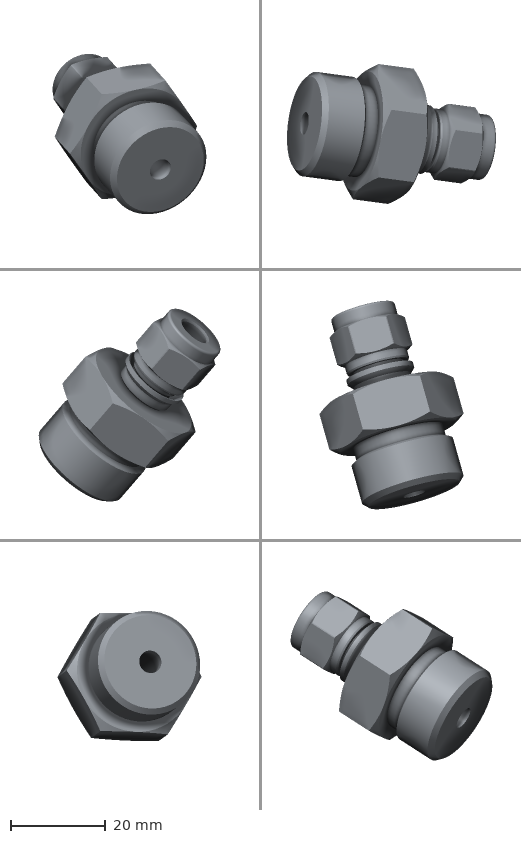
import cadquery as cq
import math

LENGTH = 40.85

NOSE_DIAMETER = 13.9
NOSE_ROUND = 0.55
NUT_ACROSS_FLATS = 14.38
NUT_CORNER_DIAMETER = 16.45
NUT_HEX_START = 3.02
NUT_HEX_END = 10.6
COLLAR_DIAMETER = 13.6
COLLAR_END = 12.58
COLLAR_CHAMFER_LENGTH = 0.35
COLLAR_CHAMFER_DEPTH = 0.15

NECK_DIAMETER = 11.1
NECK_INNER_DIAMETER = 10.1
NECK_TAPER_START = 13.95
FLANGE_DIAMETER = 14.6
FLANGE_START = 13.55
FLANGE_RIM_END = 14.62
FLANGE_LIP = 0.2
SHOULDER_DIAMETER = 12.6
SHOULDER_CHAMFER = 0.35
CONE_END = FLANGE_RIM_END + (FLANGE_DIAMETER - SHOULDER_DIAMETER) / 2

BODY_ACROSS_FLATS = 25.4
BODY_HEX_START = 17.85
BODY_HEX_END = 28.05

RELIEF_DIAMETER = 19.6
RELIEF_END = 30.8
THREAD_DIAMETER = 22.2
THREAD_START_CHAMFER_LENGTH = 0.75
THREAD_END_CHAMFER = 1.1

THROUGH_DIAMETER = 4.8
TUBE_SOCKET_DIAMETER = 6.55
TUBE_SOCKET_DEPTH = 15.5
SOCKET_MOUTH_CHAMFER = 0.4

HEX_CHAMFER_ANGLE = math.radians(30)


def cylinder(start, end, diameter):
    """Solid cylinder along X between two stations."""
    return cq.Workplane("YZ", origin=(start, 0, 0)).circle(diameter / 2).extrude(end - start)


def turned(profile):
    """Solid of revolution about X from (station, radius) points."""
    return cq.Workplane("XY").polyline(profile).close().revolve(360, (0, 0, 0), (1, 0, 0))


def chamfered_hexagon(start, end, across_flats, corner_diameter, start_face, end_face):
    """Hexagon with corners on +Y and -Y, trimmed by a turned blank chamfered at both ends."""
    sharp_corner_diameter = across_flats / math.cos(math.radians(30))
    prism = (
        cq.Workplane("YZ", origin=(start, 0, 0))
        .polygon(6, sharp_corner_diameter)
        .extrude(end - start)
    )
    corner_radius = corner_diameter / 2
    start_radius = start_face / 2
    end_radius = end_face / 2
    start_chamfer = (corner_radius - start_radius) * math.tan(HEX_CHAMFER_ANGLE)
    end_chamfer = (corner_radius - end_radius) * math.tan(HEX_CHAMFER_ANGLE)
    blank = turned([
        (start, 0),
        (start, start_radius),
        (start + start_chamfer, corner_radius),
        (end - end_chamfer, corner_radius),
        (end, end_radius),
        (end, 0),
    ])
    return prism.intersect(blank)


def tube_nut():
    nose = cylinder(0, NUT_HEX_START, NOSE_DIAMETER).faces("<X").edges().fillet(NOSE_ROUND)
    hexagon = chamfered_hexagon(
        NUT_HEX_START,
        NUT_HEX_END,
        NUT_ACROSS_FLATS,
        NUT_CORNER_DIAMETER,
        start_face=NOSE_DIAMETER,
        end_face=COLLAR_DIAMETER,
    )
    collar_radius = COLLAR_DIAMETER / 2
    collar = turned([
        (NUT_HEX_END, 0),
        (NUT_HEX_END, collar_radius),
        (COLLAR_END - COLLAR_CHAMFER_LENGTH, collar_radius),
        (COLLAR_END, collar_radius - COLLAR_CHAMFER_DEPTH),
        (COLLAR_END, 0),
    ])
    return nose.union(hexagon).union(collar)


def flanged_neck():
    """Tapered neck and flange, with a 45 degree conical recess in the flange around the neck."""
    neck_radius = NECK_DIAMETER / 2
    inner_radius = NECK_INNER_DIAMETER / 2
    flange_radius = FLANGE_DIAMETER / 2
    recess_radius = flange_radius - FLANGE_LIP
    recess_end = FLANGE_START + recess_radius - inner_radius
    shoulder_radius = SHOULDER_DIAMETER / 2
    return turned([
        (COLLAR_END, 0),
        (COLLAR_END, neck_radius),
        (NECK_TAPER_START, neck_radius),
        (NECK_TAPER_START + neck_radius - inner_radius, inner_radius),
        (recess_end, inner_radius),
        (FLANGE_START, recess_radius),
        (FLANGE_START, flange_radius),
        (FLANGE_RIM_END, flange_radius),
        (CONE_END, shoulder_radius),
        (BODY_HEX_START - SHOULDER_CHAMFER, shoulder_radius),
        (BODY_HEX_START, shoulder_radius - SHOULDER_CHAMFER),
        (BODY_HEX_START, 0),
    ])


def body_hexagon():
    corner_diameter = BODY_ACROSS_FLATS / math.cos(math.radians(30))
    return chamfered_hexagon(
        BODY_HEX_START,
        BODY_HEX_END,
        BODY_ACROSS_FLATS,
        corner_diameter,
        start_face=BODY_ACROSS_FLATS,
        end_face=BODY_ACROSS_FLATS,
    )


def threaded_end():
    relief_radius = RELIEF_DIAMETER / 2
    thread_radius = THREAD_DIAMETER / 2
    return turned([
        (BODY_HEX_END, 0),
        (BODY_HEX_END, relief_radius),
        (RELIEF_END, relief_radius),
        (RELIEF_END + THREAD_START_CHAMFER_LENGTH, thread_radius),
        (LENGTH - THREAD_END_CHAMFER, thread_radius),
        (LENGTH, thread_radius - THREAD_END_CHAMFER),
        (LENGTH, 0),
    ])


def bore():
    """Through hole with a wider tube socket, chamfered at its mouth."""
    through_radius = THROUGH_DIAMETER / 2
    socket_radius = TUBE_SOCKET_DIAMETER / 2
    return turned([
        (0, 0),
        (0, socket_radius + SOCKET_MOUTH_CHAMFER),
        (SOCKET_MOUTH_CHAMFER, socket_radius),
        (TUBE_SOCKET_DEPTH, socket_radius),
        (TUBE_SOCKET_DEPTH, through_radius),
        (LENGTH, through_radius),
        (LENGTH, 0),
    ])


result = tube_nut().union(flanged_neck()).union(body_hexagon()).union(threaded_end()).cut(bore())